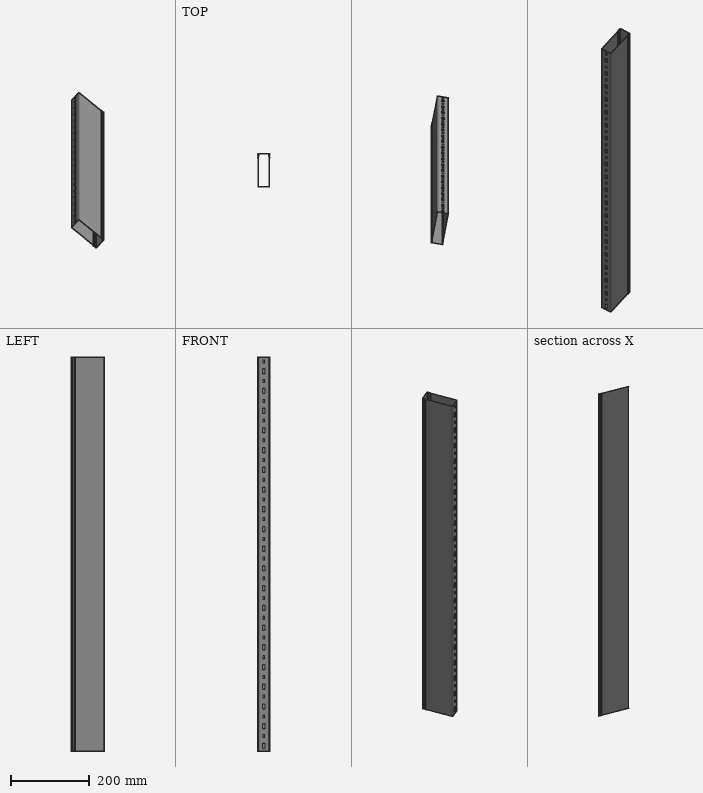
import cadquery as cq

LENGTH = 1000.0
LID_WIDTH = 31.0
TOTAL_DEPTH = 84.0

WALL = 1.0

BASE_EDGE_RADIUS = 1.0
BASE_INNER_RADIUS = 1.0
LID_EDGE_RADIUS = 1.0

GROOVE_DEPTH = 1.5
GROOVE_TOP = 3.5
GROOVE_FLOOR_END = 4.5
GROOVE_BOTTOM = 8.5
SKIRT_HEIGHT = 2.0

SLOT_PITCH = 50.0
SLOT_COUNT = 20
LARGE_SLOT_WIDTH = 6.5
LARGE_SLOT_HEIGHT = 14.0
LARGE_SLOT_START = 14.0
SMALL_SLOT_WIDTH = 4.5
SMALL_SLOT_HEIGHT = 8.0
SMALL_SLOT_START = LARGE_SLOT_START + SLOT_PITCH / 2

LID_HALF = LID_WIDTH / 2
DUCT_HALF = LID_HALF - WALL
NECK_HALF = DUCT_HALF - GROOVE_DEPTH
GROOVE_HALF = LID_HALF - GROOVE_DEPTH
SHOULDER_Y = TOTAL_DEPTH - GROOVE_BOTTOM
LID_EDGE_Y = SHOULDER_Y - SKIRT_HEIGHT
NECK_Y = TOTAL_DEPTH - GROOVE_FLOOR_END
GROOVE_TOP_Y = TOTAL_DEPTH - GROOVE_TOP
RIM_Y = GROOVE_TOP_Y + WALL


def mirrored_bar(half_outline):
    """Full-length bar whose outline is the given +X half and its mirror image."""
    other_half = [(-x, y) for x, y in reversed(half_outline)]
    return cq.Workplane("XY").polyline(half_outline + other_half).close().extrude(LENGTH)


def slot_row(width, height, first_z):
    """Cutters for one row of round-ended slots through the base."""
    points = [(0, first_z + i * SLOT_PITCH) for i in range(SLOT_COUNT)]
    return cq.Workplane("XZ").pushPoints(points).slot2D(height, width, 90).extrude(WALL, both=True)


def make_duct():
    """U-shaped duct with a narrowed rim and two rows of slots in its base."""
    outside = mirrored_bar(
        [(DUCT_HALF, 0), (DUCT_HALF, SHOULDER_Y), (NECK_HALF, NECK_Y), (NECK_HALF, RIM_Y)]
    )
    outside = outside.edges("|Z and <Y").fillet(BASE_EDGE_RADIUS)
    inside = mirrored_bar(
        [
            (DUCT_HALF - WALL, WALL),
            (DUCT_HALF - WALL, SHOULDER_Y),
            (NECK_HALF - WALL, NECK_Y),
            (NECK_HALF - WALL, RIM_Y),
        ]
    )
    inside = inside.edges('|Z and <Y').fillet(BASE_INNER_RADIUS)
    duct = outside.cut(inside)
    duct = duct.cut(slot_row(LARGE_SLOT_WIDTH, LARGE_SLOT_HEIGHT, LARGE_SLOT_START))
    return duct.cut(slot_row(SMALL_SLOT_WIDTH, SMALL_SLOT_HEIGHT, SMALL_SLOT_START))


def make_lid():
    """Channel-shaped lid whose grooved sides snap over the rim of the duct."""
    outside = mirrored_bar(
        [
            (LID_HALF, LID_EDGE_Y),
            (LID_HALF, SHOULDER_Y),
            (GROOVE_HALF, NECK_Y),
            (GROOVE_HALF, GROOVE_TOP_Y),
            (LID_HALF, GROOVE_TOP_Y),
            (LID_HALF, TOTAL_DEPTH),
        ]
    )
    outside = outside.edges("|Z and >Y").fillet(LID_EDGE_RADIUS)
    inside = mirrored_bar(
        [
            (DUCT_HALF, LID_EDGE_Y),
            (DUCT_HALF, SHOULDER_Y),
            (NECK_HALF, NECK_Y),
            (NECK_HALF, RIM_Y),
            (DUCT_HALF, RIM_Y),
            (DUCT_HALF, TOTAL_DEPTH - WALL),
        ]
    )
    return outside.cut(inside)


duct = make_duct()
lid = make_lid()

result = cq.Compound.makeCompound([duct.val(), lid.val()])